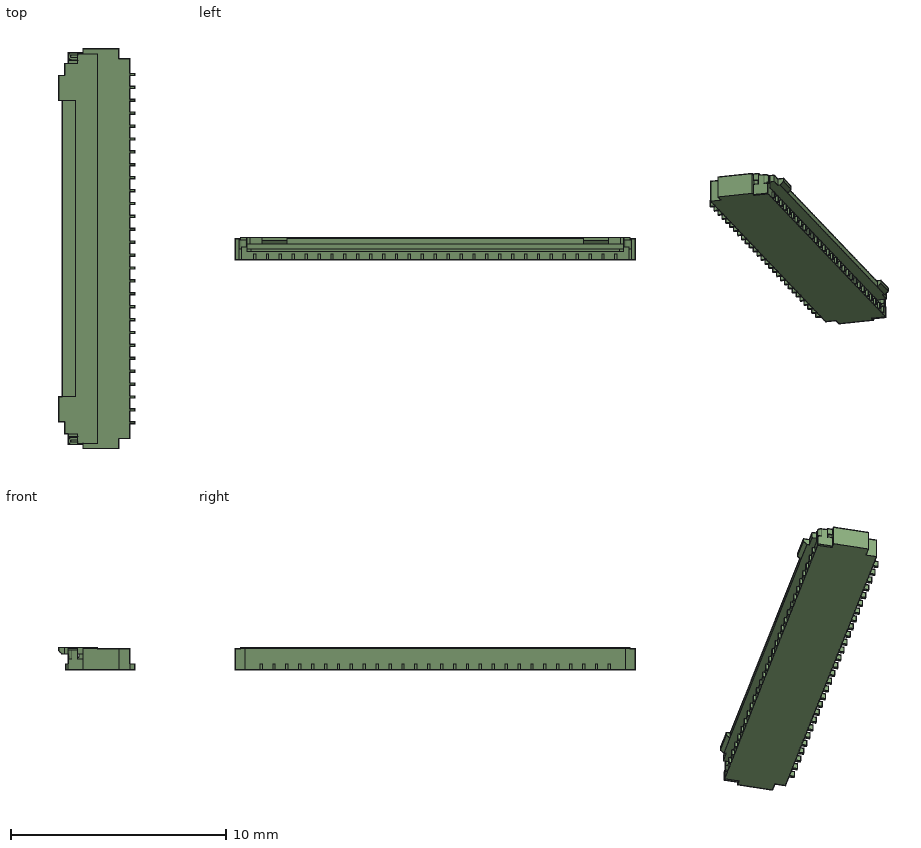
import cadquery as cq

LEAD_TOP = 0.28
SLOT_FLOOR = 0.39
PLATE_TOP = 0.5
STEP_TOP = 0.5
SHELF_TOP = 0.6
LID_BOTTOM = 0.73
CHAMFER_TOP = 0.9
HOOK_TOP = 0.93
BODY_TOP = 0.99
LID_TOP = 1.05

TAB_FRONT = 0.0
LID_FRONT = 0.17
EAR_FRONT = 0.28
FRONT_LEAD_TIP = 0.33
HOUSING_FRONT = 0.45
WINDOW_BACK = 0.78
HOOK_BACK = 0.9
SHELF_BACK = 0.95
FLANGE_FRONT = 1.13
LID_BACK = 1.8
SLOT_BACK = 2.23
FLANGE_BACK = 2.8
HOUSING_BACK = 3.31
BACK_LEAD_TIP = 3.55

WINDOW_HALF = 6.88
TAB_HALF = 8.05
STEP_HALF = 8.57
EAR_HALF = 8.61
SLOT_HALF = 8.75
REAR_HALF = 8.84
FRONT_HALF = 9.0
LID_HALF = 9.05
FLANGE_HALF = 9.3

STRIP_THICKNESS = 0.11
HOOK_WIDTH = 0.33
HOLD_DOWN_HALF = FRONT_HALF + STRIP_THICKNESS
HOOK_INNER_HALF = HOLD_DOWN_HALF - HOOK_WIDTH

LEAD_WIDTH = 0.11
FRONT_LEAD_COUNT = 29
BACK_LEAD_COUNT = FRONT_LEAD_COUNT - 1
FRONT_LEAD_SPAN = 16.8
LEAD_PITCH = FRONT_LEAD_SPAN / (FRONT_LEAD_COUNT - 1)


def block(x_range, y_range, z_range):
    """Box between two limits on each axis."""
    (x0, x1), (y0, y1), (z0, z1) = x_range, y_range, z_range
    return cq.Workplane("XY").box(x1 - x0, y1 - y0, z1 - z0, centered=False).translate((x0, y0, z0))


def centred_block(x_range, half_width, z_range):
    """Box that is symmetric about the middle plane."""
    return block(x_range, (-half_width, half_width), z_range)


def both_ends(shape):
    """The shape together with its mirror image across the middle plane."""
    return shape.union(shape.mirror("XZ"))


def make_base():
    """Main block with its side flanges, front shelf and the side walls of the cable entry."""
    shelf = centred_block((HOUSING_FRONT, FLANGE_FRONT), FRONT_HALF, (0, SHELF_TOP))
    lid_support = centred_block((SHELF_BACK, FLANGE_FRONT), FRONT_HALF, (0, LID_BOTTOM))
    flange = centred_block((FLANGE_FRONT, FLANGE_BACK), FLANGE_HALF, (0, BODY_TOP))
    rear = centred_block((FLANGE_FRONT, HOUSING_BACK), REAR_HALF, (0, BODY_TOP))
    side_wall = block((HOUSING_FRONT, HOOK_BACK), (SLOT_HALF, HOOK_INNER_HALF), (0, BODY_TOP))
    return shelf.union(lid_support).union(flange).union(rear).union(both_ends(side_wall))


def make_slot():
    """Cable slot: an open front bay, then a narrower gap above a raised floor."""
    bay = centred_block((HOUSING_FRONT, SHELF_BACK), SLOT_HALF, (SLOT_FLOOR, LID_BOTTOM))
    gap = centred_block((SHELF_BACK, SLOT_BACK), SLOT_HALF, (STEP_TOP, LID_BOTTOM))
    corner = block((SHELF_BACK, FLANGE_FRONT), (STEP_HALF, SLOT_HALF), (SLOT_FLOOR, STEP_TOP))
    return bay.union(gap).union(both_ends(corner))


def make_lid_tab():
    """Finger tab at the +Y end of the lid front, sloped underneath."""
    profile = [
        (TAB_FRONT, LID_TOP),
        (TAB_FRONT, CHAMFER_TOP),
        (LID_FRONT, LID_BOTTOM),
        (HOUSING_FRONT, LID_BOTTOM),
        (HOUSING_FRONT, LID_TOP),
    ]
    tab = cq.Workplane("XZ").polyline(profile).close().extrude(WINDOW_HALF - TAB_HALF)
    return tab.translate((0, WINDOW_HALF, 0))


def make_lid():
    """Lid plate with ears, finger tabs and a shallow recess along the front of its top."""
    lid_height = (LID_BOTTOM, LID_TOP)
    plate = centred_block((HOOK_BACK, LID_BACK), LID_HALF, lid_height)
    ears = centred_block((EAR_FRONT, HOOK_BACK), EAR_HALF, lid_height)
    front = centred_block((LID_FRONT, HOOK_BACK), TAB_HALF, lid_height)
    window = centred_block((LID_FRONT, WINDOW_BACK), WINDOW_HALF, (BODY_TOP, LID_TOP))
    return plate.union(ears).union(front).union(both_ends(make_lid_tab())).cut(window)


def make_lead_row(count, x_start, x_end):
    """Row of solder leads standing out of one long side of the housing."""
    centres = [(0, (i - (count - 1) / 2) * LEAD_PITCH) for i in range(count)]
    length = x_end - x_start
    row = cq.Workplane("XY").pushPoints(centres).rect(length, LEAD_WIDTH).extrude(LEAD_TOP)
    return row.translate(((x_start + x_end) / 2, 0, 0))


def make_housing():
    """Housing with its lid and the leads moulded into it."""
    front_leads = make_lead_row(FRONT_LEAD_COUNT, FRONT_LEAD_TIP, HOUSING_FRONT)
    back_leads = make_lead_row(BACK_LEAD_COUNT, HOUSING_BACK, BACK_LEAD_TIP)
    shell = make_base().union(make_lid()).cut(make_slot())
    return shell.union(front_leads).union(back_leads)


def make_hook():
    """U-bent strip: a round front bend with two arms running back to the lid."""
    bend_radius = HOOK_WIDTH / 2
    inner_radius = bend_radius - STRIP_THICKNESS
    bend_x = HOUSING_FRONT + bend_radius
    middle_y = HOLD_DOWN_HALF - bend_radius
    profile = (
        cq.Workplane("XY", origin=(0, 0, PLATE_TOP))
        .moveTo(HOOK_BACK, HOLD_DOWN_HALF)
        .lineTo(bend_x, HOLD_DOWN_HALF)
        .threePointArc((HOUSING_FRONT, middle_y), (bend_x, HOOK_INNER_HALF))
        .lineTo(HOOK_BACK, HOOK_INNER_HALF)
        .lineTo(HOOK_BACK, middle_y - inner_radius)
        .lineTo(bend_x, middle_y - inner_radius)
        .threePointArc((bend_x - inner_radius, middle_y), (bend_x, middle_y + inner_radius))
        .lineTo(HOOK_BACK, middle_y + inner_radius)
        .close()
    )
    hook = profile.extrude(HOOK_TOP - PLATE_TOP)
    shelf_space = centred_block((HOUSING_FRONT, FLANGE_FRONT), FRONT_HALF, (0, SHELF_TOP))
    return hook.cut(shelf_space)


def make_hold_down(side):
    """Hold-down for the +Y end (side = 1) or the -Y end (side = -1)."""
    plate = block((HOUSING_FRONT, FLANGE_FRONT), (FRONT_HALF, HOLD_DOWN_HALF), (0, PLATE_TOP))
    hold_down = plate.union(make_hook())
    return hold_down if side > 0 else hold_down.mirror("XZ")


housing = make_housing()
hold_downs = [make_hold_down(side) for side in (1, -1)]

hold_down_solids = [part.solids().val() for part in hold_downs]

result = cq.Compound.makeCompound([housing.solids().val(), *hold_down_solids])